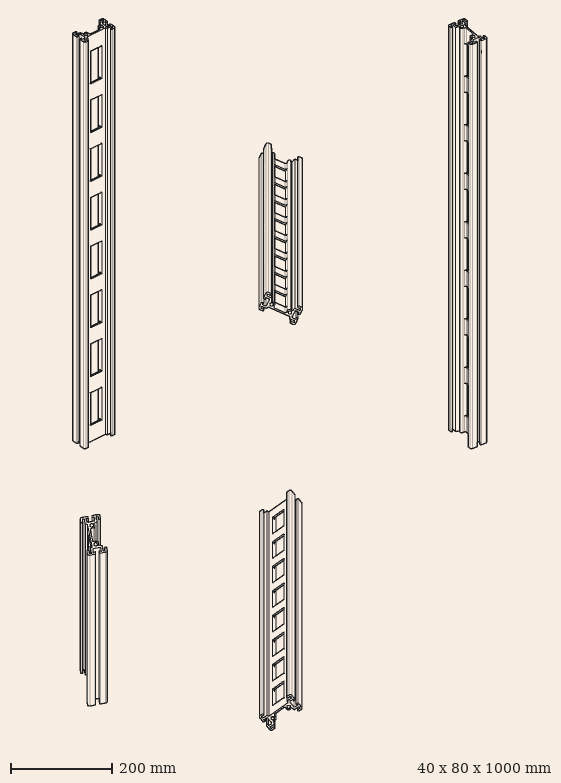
import cadquery as cq

width = 40.0
depth = 80.0
length = 1000.0

mouth_half_width = 4.0
cavity_half_width = 8.0
slot_depth = 12.0
lip_thickness = 5.0
lip_root_thickness = 3.5
side_lip_thickness = 4.0
side_lip_length = 11.0

arm_outer_x = 12.0
arm_foot_y = 25.0
arm_slope = 0.3

hub_nose_x = -6.0
hub_neck_x = -4.5
hub_flat_x = 8.0
hub_end_y = 14.0
nose_top_y = 20.0
bore_diameter = 6.8
bore_y = 20.0

web_thickness = 3.5

window_count = 8
window_length = 80.0
bridge_length = (length - window_count * window_length) / (window_count + 1)
window_pitch = window_length + bridge_length

outer_radius = 4.0
mouth_radius = 1.5
side_lip_radius = 2.0
side_lip_inner_radius = 1.5
groove_radius = 1.8
floor_radius = 2.0
nose_end_radius = 4.0
nose_top_radius = 1.4
web_radius = 3.0

half_width = width / 2
half_depth = depth / 2
cavity_floor_y = half_depth - slot_depth
lip_inner_y = half_depth - lip_thickness
lip_root_y = half_depth - lip_root_thickness
side_lip_inner_x = half_width - side_lip_thickness
side_lip_end_y = half_depth - side_lip_length
web_left_x = hub_flat_x - web_thickness

pick_margin = 0.2


def arm_underside(x):
    """Height of the sloping underside of an arm at the given x."""
    return arm_foot_y - arm_slope * (arm_outer_x - abs(x))


def head_side(side):
    """Points of one side of the +Y head, from the slot floor round to the foot of its arm."""
    points = [
        (cavity_half_width, cavity_floor_y),
        (cavity_half_width, lip_root_y),
        (mouth_half_width, lip_inner_y),
        (mouth_half_width, half_depth),
        (half_width, half_depth),
        (half_width, side_lip_end_y),
        (side_lip_inner_x, side_lip_end_y),
        (side_lip_inner_x, lip_root_y),
        (arm_outer_x, lip_root_y),
        (arm_outer_x, arm_foot_y),
    ]
    return [(side * x, y) for x, y in points]


def hub_outline():
    """Points of the +Y hub, from the +X arm round the web end to the -X arm."""
    return [
        (hub_flat_x, arm_underside(hub_flat_x)),
        (hub_flat_x, hub_end_y),
        (hub_nose_x, hub_end_y),
        (hub_nose_x, nose_top_y),
        (hub_neck_x, nose_top_y),
        (hub_neck_x, arm_underside(hub_neck_x)),
    ]


def round_edge(body, x, y, radius):
    """Fillet the lengthwise edge that passes through (x, y)."""
    near = cq.selectors.BoxSelector(
        (x - pick_margin, y - pick_margin, 0),
        (x + pick_margin, y + pick_margin, length),
    )
    return body.edges("|Z").edges(near).fillet(radius)


def make_head():
    """The +Y head together with its hub and bore."""
    outline = head_side(1) + hub_outline() + head_side(-1)[::-1]
    body = cq.Workplane("XY").polyline(outline).close().extrude(length)
    for side in (-1, 1):
        body = round_edge(body, side * half_width, half_depth, outer_radius)
        body = round_edge(body, side * mouth_half_width, half_depth, mouth_radius)
        body = round_edge(body, side * half_width, side_lip_end_y, side_lip_radius)
        body = round_edge(body, side * side_lip_inner_x, side_lip_end_y, side_lip_inner_radius)
        body = round_edge(body, side * side_lip_inner_x, lip_root_y, groove_radius)
        body = round_edge(body, side * arm_outer_x, lip_root_y, groove_radius)
        body = round_edge(body, side * cavity_half_width, cavity_floor_y, floor_radius)
    body = round_edge(body, hub_nose_x, hub_end_y, nose_end_radius)
    body = round_edge(body, hub_nose_x, nose_top_y, nose_top_radius)
    bore = cq.Workplane("XY").center(0, bore_y).circle(bore_diameter / 2).extrude(length)
    return body.cut(bore)


def make_web():
    """The plain plate joining the two hubs."""
    middle_x = (web_left_x + hub_flat_x) / 2
    return cq.Workplane("XY").center(middle_x, 0).rect(web_thickness, 2 * hub_end_y).extrude(length)


def make_windows():
    """Cutters for the row of windows, evenly spaced along the length."""
    row = cq.Workplane("XZ").center(0, length / 2).rarray(10, window_pitch, 1, window_count)
    return row.rect(width, window_length).extrude(hub_end_y, both=True)


head = make_head()
profile = head.union(head.mirror("XZ")).union(make_web())
for side in (-1, 1):
    profile = round_edge(profile, web_left_x, side * hub_end_y, web_radius)
result = profile.cut(make_windows())